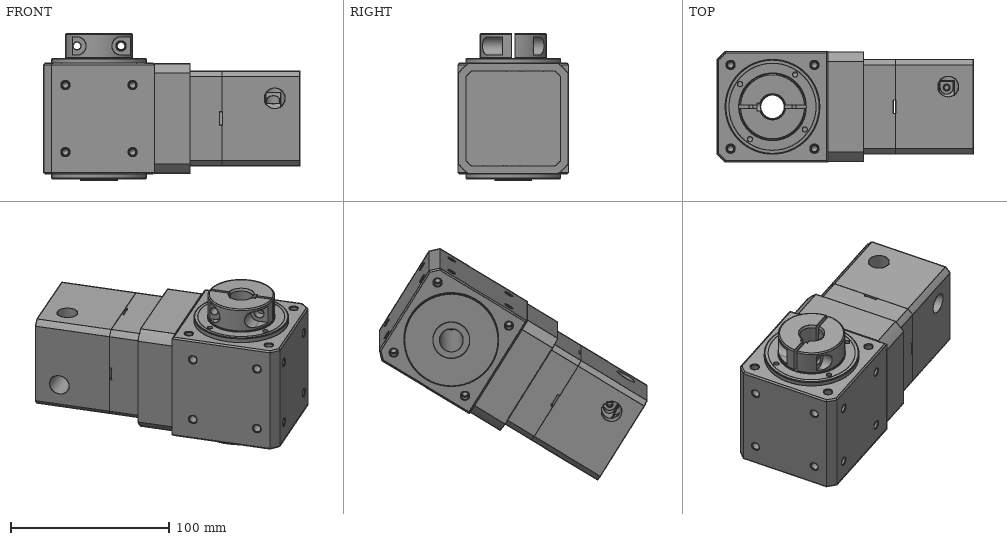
import cadquery as cq
import math


HOUSING_SIZE = 70.0
HOUSING_CORNER_CHAMFER = 5.0
HOUSING_EDGE_CHAMFER = 1.0
SPIGOT_RADIUS = 30.0
SPIGOT_HEIGHT = 3.0
SPIGOT_CHAMFER = 0.5
SIDE_HOLE_SPACING = 42.5
TOP_HOLE_SPACING = 53.0
MOUNT_MOUTH_DIAMETER = 5.8
MOUNT_THREAD_DIAMETER = 4.9
MOUNT_CORE_DIAMETER = 3.9
MOUNT_THREAD_DEPTH = 8.0
MOUNT_CORE_DEPTH = 10.0
DRILL_POINT_ANGLE = 118

BORE_RADIUS = 7.5
SHAFT_RADIUS = 11.7
SHAFT_PROTRUSION = 1.0
FLANGE_RADIUS = 27.5
FLANGE_THICKNESS = 8.0
CLAMP_RECESS_RADIUS = 21.4
CLAMP_RECESS_DEPTH = 0.2
FLANGE_HOLE_CIRCLE_RADIUS = 25.0
FLANGE_HOLE_DIAMETER = 3.2
FLANGE_HOLE_DEPTH = 5.0
TAPPED_HOLE_ANGLE = 55
DOWEL_HOLE_ANGLE = 145
SLIT_HOLE_OFFSET = 13.6
SLIT_HOLE_DIAMETER = 2.6
KEYWAY_WIDTH = 5.0
KEYWAY_REACH = 9.9
KEYWAY_LENGTH = 25.0

CLAMP_RADIUS = 21.0
CLAMP_HEIGHT = 16.0
CLAMP_CHAMFER = 0.8
CLAMP_SLIT = 2.0
CLAMP_BORE_CHAMFER_WIDTH = 0.8
CLAMP_BORE_CHAMFER_HEIGHT = 1.6
CLAMP_SCREW_OFFSET = 14.0
CLAMP_POCKET_DIAMETER = 11.5
CLAMP_DEEP_SEAT = 6.8
CLAMP_SHALLOW_SEAT = 12.8
CLAMP_CLEARANCE_DIAMETER = 6.5
CLAMP_THREAD_DIAMETER = 4.9

MOTOR_CLAMP_X = 110.2
MOTOR_CLAMP_RADIUS = 16.5
MOTOR_CLAMP_WIDTH = 10.0
MOTOR_CLAMP_CHAMFER = 0.5
MOTOR_CLAMP_GAP = 1.0
MOTOR_CLAMP_SCREW_OFFSET = 12.2
MOTOR_CLAMP_POCKET_DIAMETER = 8.3
MOTOR_CLAMP_DEEP_SEAT = 3.9
MOTOR_CLAMP_SHALLOW_SEAT = 9.5
MOTOR_CLAMP_CLEARANCE_DIAMETER = 4.4
MOTOR_CLAMP_THREAD_DIAMETER = 3.2

ADAPTER_SIZE = 69.3
ADAPTER_TURNED_RADIUS = 45.0
ADAPTER_LENGTH = 22.7
MOTOR_SIZE = 60.0
MOTOR_TURNED_RADIUS = 40.0
MOTOR_FLANGE_LENGTH = 20.2
OVERALL_LENGTH = 162.0
VENT_WIDTH = 8.5
VENT_DEPTH = 1.5
PORT_DIAMETER = 13.0
PORT_X = 111.1
PORT_OFFSET = 12.8

HOUSING_HALF = HOUSING_SIZE / 2
SPIGOT_FACE = HOUSING_HALF + SPIGOT_HEIGHT
CLAMP_BASE = SPIGOT_FACE - CLAMP_RECESS_DEPTH
CLAMP_TOP = CLAMP_BASE + CLAMP_HEIGHT
ADAPTER_START = HOUSING_HALF
MOTOR_FLANGE_START = ADAPTER_START + ADAPTER_LENGTH
MOTOR_HOUSING_START = MOTOR_FLANGE_START + MOTOR_FLANGE_LENGTH
MOTOR_HOUSING_LENGTH = OVERALL_LENGTH - HOUSING_HALF - MOTOR_HOUSING_START


def cylinder(radius, length, base=(0, 0, 0), direction=(0, 0, 1)):
    solid = cq.Solid.makeCylinder(radius, length, cq.Vector(*base), cq.Vector(*direction))
    return cq.Workplane(solid)


def turned_square(size, turned_radius, start, length):
    """Square bar along X whose corners are cut by a coaxial cylinder."""
    bar = cq.Workplane("YZ", origin=(start, 0, 0)).rect(size, size).extrude(length)
    return bar.intersect(cylinder(turned_radius, length, (start, 0, 0), (1, 0, 0)))


def drill_point_height(radius):
    return radius / math.tan(math.radians(DRILL_POINT_ANGLE / 2))


def mount_hole():
    """Tapped hole below the XY plane: chamfered mouth, thread, core hole and drill point."""
    mouth = MOUNT_MOUTH_DIAMETER / 2
    thread = MOUNT_THREAD_DIAMETER / 2
    core = MOUNT_CORE_DIAMETER / 2
    profile = [
        (0, 0),
        (mouth, 0),
        (thread, thread - mouth),
        (thread, -MOUNT_THREAD_DEPTH),
        (core, -MOUNT_THREAD_DEPTH),
        (core, -MOUNT_CORE_DEPTH),
        (0, -MOUNT_CORE_DEPTH - drill_point_height(core)),
    ]
    return cq.Workplane("XZ").polyline(profile).close().revolve(360, (0, 0), (0, 1)).val()


def mount_holes(normal, spacing):
    """Mounting holes at the corners of a square on the housing face with this outward normal."""
    side_direction = (1, 0, 0) if normal[0] == 0 else (0, 1, 0)
    face = cq.Plane(origin=[HOUSING_HALF * part for part in normal], xDir=side_direction, normal=normal)
    hole = mount_hole()
    holes = cq.Workplane()
    for x in (-spacing / 2, spacing / 2):
        for y in (-spacing / 2, spacing / 2):
            place = cq.Plane(origin=face.toWorldCoords((x, y)), xDir=side_direction, normal=normal)
            holes = holes.add(hole.moved(cq.Location(place)))
    return holes.combine()


def keyway():
    """Slot beside the bore on -X, open at the top and rounded at its lower end."""
    straight = KEYWAY_LENGTH - KEYWAY_WIDTH / 2
    half = KEYWAY_WIDTH / 2
    return (
        cq.Workplane("YZ")
        .moveTo(-half, CLAMP_TOP)
        .lineTo(-half, CLAMP_TOP - straight)
        .threePointArc((0, CLAMP_TOP - KEYWAY_LENGTH), (half, CLAMP_TOP - straight))
        .lineTo(half, CLAMP_TOP)
        .close()
        .extrude(-KEYWAY_REACH)
    )


def make_output_shaft():
    bottom = -SPIGOT_FACE - SHAFT_PROTRUSION
    shaft = cylinder(SHAFT_RADIUS, SPIGOT_FACE - bottom, (0, 0, bottom))
    shaft = shaft.union(cylinder(FLANGE_RADIUS, FLANGE_THICKNESS, (0, 0, SPIGOT_FACE - FLANGE_THICKNESS)))
    shaft = shaft.cut(cylinder(BORE_RADIUS, SPIGOT_FACE - bottom, (0, 0, bottom)))
    shaft = shaft.cut(cylinder(CLAMP_RECESS_RADIUS, CLAMP_RECESS_DEPTH, (0, 0, CLAMP_BASE)))
    return shaft.cut(keyway()).cut(flange_holes())


def flange_holes():
    """Tapped holes with drill points, flat dowel holes, and two small holes under the clamp slit."""
    radius = FLANGE_HOLE_DIAMETER / 2
    point_height = drill_point_height(radius)
    floor = SPIGOT_FACE - FLANGE_HOLE_DEPTH
    holes = cq.Workplane()
    for start_angle, pointed in ((TAPPED_HOLE_ANGLE, True), (DOWEL_HOLE_ANGLE, False)):
        for angle in (start_angle, start_angle + 180):
            x = FLANGE_HOLE_CIRCLE_RADIUS * math.cos(math.radians(angle))
            y = FLANGE_HOLE_CIRCLE_RADIUS * math.sin(math.radians(angle))
            holes = holes.add(cylinder(radius, FLANGE_HOLE_DEPTH, (x, y, floor)))
            if pointed:
                point = cq.Solid.makeCone(0, radius, point_height, cq.Vector(x, y, floor - point_height))
                holes = holes.add(point)
    for x in (-SLIT_HOLE_OFFSET, SLIT_HOLE_OFFSET):
        holes = holes.add(cylinder(SLIT_HOLE_DIAMETER / 2, FLANGE_HOLE_DEPTH, (x, 0, floor)))
    return holes.combine()


def make_housing():
    housing = (
        cq.Workplane()
        .box(HOUSING_SIZE, HOUSING_SIZE, HOUSING_SIZE)
        .edges("|Z and <X")
        .chamfer(HOUSING_CORNER_CHAMFER)
        .faces("<Z or >Z")
        .edges()
        .chamfer(HOUSING_EDGE_CHAMFER)
    )
    spigots = cylinder(SPIGOT_RADIUS, 2 * SPIGOT_FACE, (0, 0, -SPIGOT_FACE))
    housing = housing.union(spigots.faces("<Z or >Z").chamfer(SPIGOT_CHAMFER))
    for normal in ((0, -1, 0), (0, 1, 0), (-1, 0, 0)):
        housing = housing.cut(mount_holes(normal, SIDE_HOLE_SPACING))
    for normal in ((0, 0, 1), (0, 0, -1)):
        housing = housing.cut(mount_holes(normal, TOP_HOLE_SPACING))
    seat = cylinder(FLANGE_RADIUS, FLANGE_THICKNESS, (0, 0, SPIGOT_FACE - FLANGE_THICKNESS))
    return housing.cut(seat).cut(cylinder(SHAFT_RADIUS, 2 * SPIGOT_FACE, (0, 0, -SPIGOT_FACE)))


def clamp_screw_cut(radius, offset, pocket_diameter, deep_seat, shallow_seat, clearance, thread, mid_height):
    """Screw along +Y at x = offset: deep head pocket on -Y, shallow spot face on +Y."""

    def hole(diameter, start, end):
        return cylinder(diameter / 2, end - start, (offset, start, mid_height), (0, 1, 0))

    def pocket(start, end):
        """Round on its inner side and open outward in X."""
        size = (radius - offset, end - start, pocket_diameter)
        outlet = cq.Workplane().box(*size, centered=(False, False, True))
        return hole(pocket_diameter, start, end).union(outlet.translate((offset, start, mid_height)))

    return (
        hole(clearance, -radius, 0)
        .union(hole(thread, 0, radius))
        .union(pocket(-radius, -deep_seat))
        .union(pocket(shallow_seat, radius))
    )


def make_clamp_half(radius, height, chamfer, *screw_sizes):
    """Half ring on -Y, standing on the XY plane; the other half is this one turned by 180 degrees."""
    ring = cylinder(radius, height).faces("<Z or >Z").chamfer(chamfer)
    ring = ring.cut(cylinder(BORE_RADIUS, height))
    ring = ring.cut(bore_chamfer(height))
    screw = clamp_screw_cut(radius, *screw_sizes, height / 2)
    ring = ring.cut(screw).cut(screw.rotate((0, 0, 0), (0, 0, 1), 180))
    half_space = cq.Workplane().box(2 * radius, radius, height, centered=(True, False, False))
    return ring.intersect(half_space.translate((0, -radius - CLAMP_SLIT / 2, 0)))


def bore_chamfer(top):
    """Steep conical mouth at the upper end of a clamp bore."""
    mouth_radius = BORE_RADIUS + CLAMP_BORE_CHAMFER_WIDTH
    base = cq.Vector(0, 0, top - CLAMP_BORE_CHAMFER_HEIGHT)
    return cq.Workplane(cq.Solid.makeCone(BORE_RADIUS, mouth_radius, CLAMP_BORE_CHAMFER_HEIGHT, base))


def both_halves(half):
    return [half.rotate((0, 0, 0), (0, 0, 1), angle) for angle in (0, 180)]


def make_output_clamp_halves():
    half = make_clamp_half(
        CLAMP_RADIUS,
        CLAMP_HEIGHT,
        CLAMP_CHAMFER,
        CLAMP_SCREW_OFFSET,
        CLAMP_POCKET_DIAMETER,
        CLAMP_DEEP_SEAT,
        CLAMP_SHALLOW_SEAT,
        CLAMP_CLEARANCE_DIAMETER,
        CLAMP_THREAD_DIAMETER,
    )
    return [piece.translate((0, 0, CLAMP_BASE)).cut(keyway()).val() for piece in both_halves(half)]


def make_motor_clamp_halves():
    half = make_clamp_half(
        MOTOR_CLAMP_RADIUS,
        MOTOR_CLAMP_WIDTH,
        MOTOR_CLAMP_CHAMFER,
        MOTOR_CLAMP_SCREW_OFFSET,
        MOTOR_CLAMP_POCKET_DIAMETER,
        MOTOR_CLAMP_DEEP_SEAT,
        MOTOR_CLAMP_SHALLOW_SEAT,
        MOTOR_CLAMP_CLEARANCE_DIAMETER,
        MOTOR_CLAMP_THREAD_DIAMETER,
    )
    seat = cq.Plane(
        origin=(MOTOR_CLAMP_X + MOTOR_CLAMP_WIDTH / 2, 0, 0), xDir=(0, 1, 0), normal=(-1, 0, 0)
    )
    return [piece.val().moved(cq.Location(seat)) for piece in both_halves(half)]


def make_adapter():
    return turned_square(ADAPTER_SIZE, ADAPTER_TURNED_RADIUS, ADAPTER_START, ADAPTER_LENGTH)


def make_motor_flange():
    """Flange with crossing vent slots through its rear face."""
    flange = turned_square(MOTOR_SIZE, MOTOR_TURNED_RADIUS, MOTOR_FLANGE_START, MOTOR_FLANGE_LENGTH)
    rear = cq.Workplane("YZ", origin=(MOTOR_HOUSING_START, 0, 0))
    for width, height in ((MOTOR_SIZE, VENT_WIDTH), (VENT_WIDTH, MOTOR_SIZE)):
        flange = flange.cut(rear.rect(width, height).extrude(-VENT_DEPTH))
    return flange


def make_motor_housing():
    """Rear block with a chamber around the motor clamp and four access ports to its screws."""
    block = turned_square(MOTOR_SIZE, MOTOR_TURNED_RADIUS, MOTOR_HOUSING_START, MOTOR_HOUSING_LENGTH)
    chamber_radius = MOTOR_CLAMP_RADIUS + MOTOR_CLAMP_GAP
    chamber_length = MOTOR_CLAMP_WIDTH + 2 * MOTOR_CLAMP_GAP
    chamber_start = (MOTOR_CLAMP_X - chamber_length / 2, 0, 0)
    block = block.cut(cylinder(chamber_radius, chamber_length, chamber_start, (1, 0, 0)))
    port = cylinder(PORT_DIAMETER / 2, MOTOR_SIZE / 2 + PORT_OFFSET, (PORT_X, PORT_OFFSET, -PORT_OFFSET))
    for turn in range(4):
        block = block.cut(port.rotate((0, 0, 0), (1, 0, 0), 90 * turn), clean=False)
    return block


housing = make_housing()
output_shaft = make_output_shaft()
adapter = make_adapter()
motor_flange = make_motor_flange()
motor_housing = make_motor_housing()

result = cq.Compound.makeCompound(
    [
        housing.val(),
        output_shaft.val(),
        *make_output_clamp_halves(),
        adapter.val(),
        motor_flange.val(),
        motor_housing.val(),
        *make_motor_clamp_halves(),
    ]
)